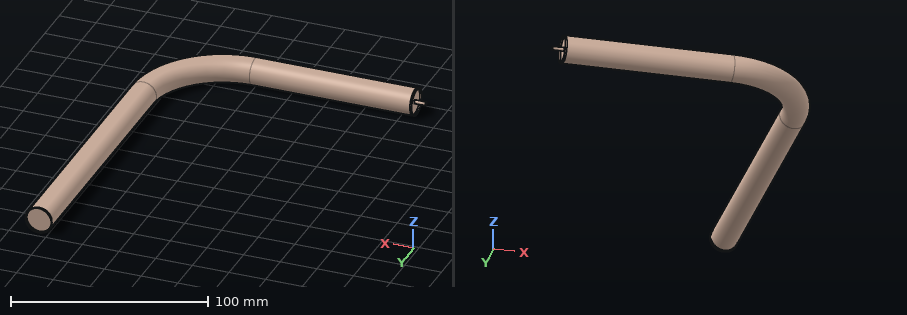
import cadquery as cq
import math

tube_diameter = 14.5
developed_length = 300.0
bend_radius = 3 * tube_diameter
long_leg = 143.18
rim_wall = 0.4
recess_depth = 1.0
pin_diameter = 2.0
pin_projection = 5.0

bend_length = bend_radius * math.pi / 2
short_leg = developed_length - bend_length - long_leg

bend_end_x = short_leg + bend_radius
tube_end_y = bend_radius + long_leg

short_leg_end = cq.Plane(origin=(0, 0, 0), xDir=(0, 1, 0), normal=(1, 0, 0))
long_leg_end = cq.Plane(origin=(bend_end_x, tube_end_y, 0), xDir=(1, 0, 0), normal=(0, -1, 0))


def bent_tube():
    """Solid round bar: short leg along X, quarter bend, long leg along Y."""
    bend_midpoint = (
        short_leg + bend_radius * math.sin(math.pi / 4),
        bend_radius * (1 - math.cos(math.pi / 4)),
    )
    centreline = (
        cq.Workplane("XY")
        .moveTo(0, 0)
        .lineTo(short_leg, 0)
        .threePointArc(bend_midpoint, (bend_end_x, bend_radius))
        .lineTo(bend_end_x, tube_end_y)
    )
    return cq.Workplane(short_leg_end).circle(tube_diameter / 2).sweep(centreline)


def end_recess(end_plane):
    """Shallow round recess that leaves a thin rim around an end face."""
    recess_radius = tube_diameter / 2 - rim_wall
    return cq.Workplane(end_plane).circle(recess_radius).extrude(recess_depth)


def end_pin():
    """Thin round pin from the floor of the short leg's recess, out along -X."""
    return (
        cq.Workplane(short_leg_end)
        .workplane(offset=-pin_projection)
        .circle(pin_diameter / 2)
        .extrude(pin_projection + recess_depth)
    )


tube = bent_tube()
for end_plane in (short_leg_end, long_leg_end):
    tube = tube.cut(end_recess(end_plane))

result = tube.union(end_pin())